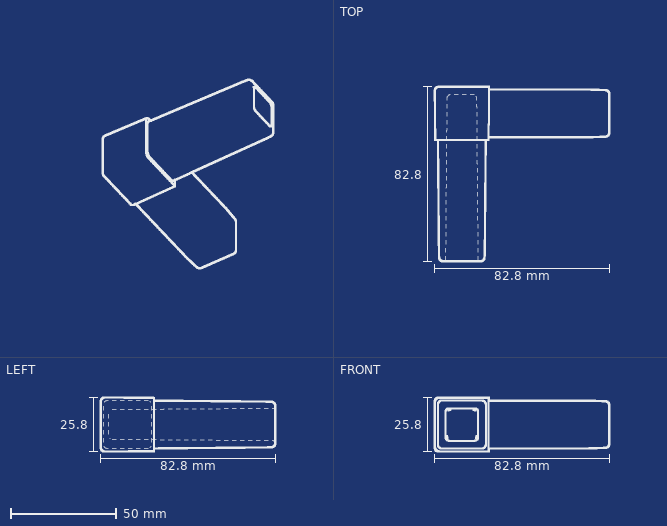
import cadquery as cq
import math

span = 82.8
hub_size = 25.75
hub_depth = 25.35
arm_width = 22.8
edge_radius = 2.0

draft_angle = 0.5
tip_angle = 2.0
hub_straight_depth = 3.3
side_tip_length = 10.1
front_tip_length = 4.6

bore_width = 15.4
bore_depth = 79.1
bore_radius = 1.7

center_x = hub_size / 2
center_y = span - hub_depth / 2
hub_front_y = span - hub_depth


def narrowing(length, angle):
    """Loss of full width over a length when both sides lean in by the angle."""
    return 2 * length * math.tan(math.radians(angle))


def square_bar(origin, direction, stations):
    """Flat-sided bar through square sections given as (distance along the bar, width)."""
    bar = cq.Workplane(cq.Plane(origin=origin, xDir=(0, 0, 1), normal=direction))
    previous = 0.0
    for distance, width in stations:
        bar = bar.workplane(offset=distance - previous).rect(width, width)
        previous = distance
    return bar.loft(ruled=True)


def make_hub():
    """Corner block, rounded on its outer edges and sharp where the arms leave it."""
    front_size = hub_size - narrowing(hub_depth - hub_straight_depth, draft_angle)
    stations = [(0, hub_size), (hub_straight_depth, hub_size), (hub_depth, front_size)]
    hub = square_bar((center_x, span, 0), (0, -1, 0), stations)
    long_edges = hub.edges("not(|X or |Z)").edges(cq.selectors.BoxSelector(
        (-0.8, 0, -hub_size), (center_x, span + 0.8, hub_size)))
    back_edges = hub.edges(">Y").edges("not >X")
    return long_edges.add(back_edges).fillet(edge_radius)


def make_side_arm():
    """Arm along +X: constant section ending in a tapered, rounded tip."""
    length = span - center_x
    tip_width = arm_width - narrowing(side_tip_length, tip_angle)
    stations = [(0, arm_width), (length - side_tip_length, arm_width), (length, tip_width)]
    arm = square_bar((center_x, center_y, 0), (1, 0, 0), stations)
    return arm.edges("(not(|Y or |Z)) or >X").fillet(edge_radius)


def make_front_arm():
    """Arm along -Y: drafted from the hub face on, with a steeper, rounded tip."""
    drafted_length = hub_front_y - front_tip_length
    tip_start_width = arm_width - narrowing(drafted_length, draft_angle)
    tip_width = tip_start_width - narrowing(front_tip_length, tip_angle)
    stations = [(0, arm_width), (drafted_length, tip_start_width), (hub_front_y, tip_width)]
    arm = square_bar((center_x, hub_front_y, 0), (0, -1, 0), stations)
    return arm.edges("(not(|X or |Z)) or <Y").fillet(edge_radius)


def make_bore():
    """Blind bore open at the front, with drafted walls and a rounded floor."""
    floor_width = bore_width - narrowing(bore_depth, draft_angle)
    bore = square_bar((center_x, 0, 0), (0, 1, 0), [(0, bore_width), (bore_depth, floor_width)])
    return bore.edges("not <Y").fillet(bore_radius)


result = make_hub().union(make_side_arm()).union(make_front_arm()).cut(make_bore())